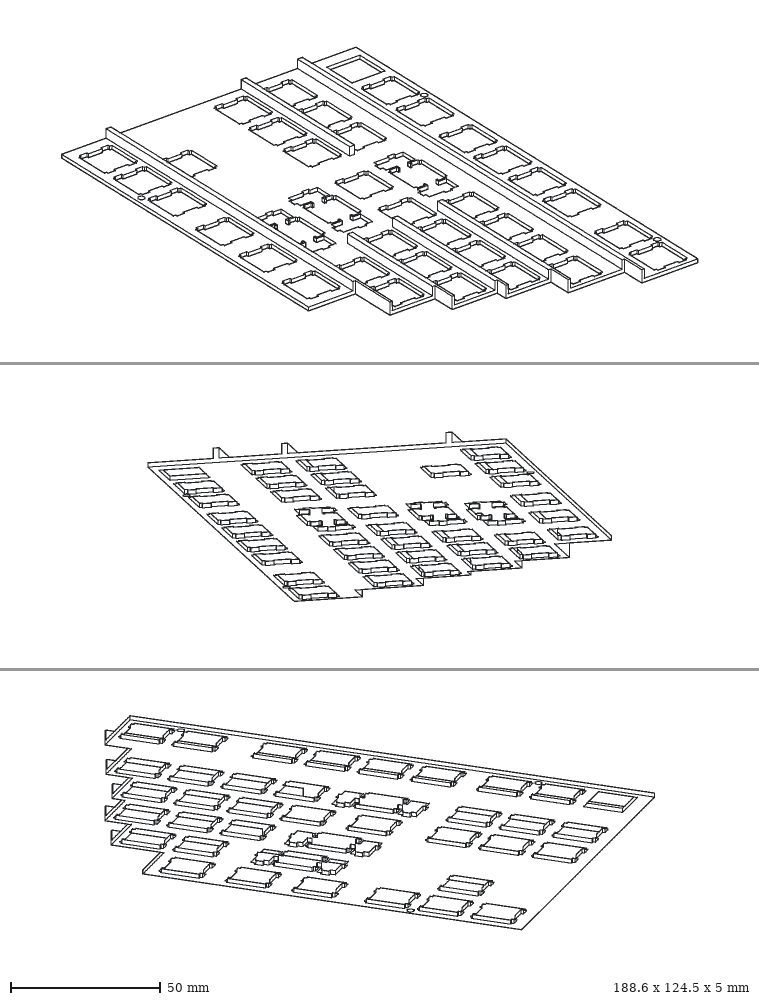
import cadquery as cq

LENGTH = 188.6
DEPTH = 124.5
HEIGHT = 5.0
PLATE_THICKNESS = 1.5

KEY_UNIT = 19.0
FIRST_COLUMN_X = 12.3
FIRST_ROW_SETBACK = 9.5

SWITCH_SIZE = 14.0
NOTCHED_WIDTH = 15.7
NOTCH_OUTER_HEIGHT = 12.0
NOTCH_INNER_HEIGHT = 5.8

STABILISER_OFFSET = 11.9
WINDOW_WIDTH = 6.6
WINDOW_TOP = 5.5
WINDOW_BOTTOM = -6.8
FOOT_WIDTH = 3.0
FOOT_BOTTOM = -8.0
SIDE_SLOT_REACH = 16.0
SIDE_SLOT_TOP = 2.3
SIDE_SLOT_BOTTOM = -0.5
CHANNEL_HEIGHT = 4.5

RIB_THICKNESS = 2.0
SPLIT_RIB_START_X = 108.5
HOLE_DIAMETER = 2.5
HOLE_EDGE_DISTANCE = 2.5

ROWS = [
    {"drop": 0.0, "right": 9.25, "switches": [1, 2, 3.25, 4.25, 5.25, 6.25, 7.75, 8.75], "stabilised": []},
    {"drop": 1.5, "right": 8.75, "switches": [0, 1, 2, 5.25, 6.25, 7.25, 8.25], "stabilised": [3.75]},
    {"drop": 2.5, "right": 8.25, "switches": [0, 1, 2, 3.5, 4.75, 5.75, 6.75, 7.75], "stabilised": []},
    {"drop": 3.5, "right": 8.0, "switches": [5.5, 6.5, 7.5], "stabilised": [3.875]},
    {"drop": 4.5, "right": 7.5, "switches": [1, 6, 7], "stabilised": [4.125]},
    {"drop": 5.5, "right": 6.5, "switches": [0, 1, 2, 3.375, 4.625, 5.875], "stabilised": []},
]
PLAIN_SQUARE_COLUMN = 0
LEFT_RIB_END_COLUMN = 2.5
BACK_HOLE_COLUMNS = [1.5, 8.25]
FRONT_HOLE_COLUMNS = [1.5]


def column_x(column):
    return FIRST_COLUMN_X + column * KEY_UNIT


def row_y(row):
    return DEPTH - FIRST_ROW_SETBACK - row["drop"] * KEY_UNIT


def right_edge(row):
    return LENGTH - (ROWS[0]["right"] - row["right"]) * KEY_UNIT


def block(x_min, x_max, y_min, y_max, height):
    """Box standing on the underside of the plate."""
    box = cq.Workplane("XY").box(x_max - x_min, y_max - y_min, height, centered=False)
    return box.translate((x_min, y_min, 0))


def centred_block(x, y, width, depth):
    return block(x - width / 2, x + width / 2, y - depth / 2, y + depth / 2, HEIGHT)


def switch_cutout(x, y):
    notches = centred_block(x, y, NOTCHED_WIDTH, NOTCH_OUTER_HEIGHT)
    notches = notches.cut(centred_block(x, y, NOTCHED_WIDTH, NOTCH_INNER_HEIGHT))
    return centred_block(x, y, SWITCH_SIZE, SWITCH_SIZE).union(notches)


def stabiliser_cutout(x, y):
    cutout = centred_block(x, y, 2 * STABILISER_OFFSET, CHANNEL_HEIGHT)
    cutout = cutout.union(
        block(x - SIDE_SLOT_REACH, x + SIDE_SLOT_REACH, y + SIDE_SLOT_BOTTOM, y + SIDE_SLOT_TOP, HEIGHT)
    )
    for side in (-1, 1):
        centre = x + side * STABILISER_OFFSET
        half_window = WINDOW_WIDTH / 2
        half_foot = FOOT_WIDTH / 2
        cutout = cutout.union(
            block(centre - half_window, centre + half_window, y + WINDOW_BOTTOM, y + WINDOW_TOP, HEIGHT)
        )
        cutout = cutout.union(block(centre - half_foot, centre + half_foot, y + FOOT_BOTTOM, y, HEIGHT))
    return cutout


row_fronts = [(row_y(row) + row_y(next_row)) / 2 for row, next_row in zip(ROWS, ROWS[1:])] + [0]
row_backs = [DEPTH] + row_fronts[:-1]
plate = cq.Workplane("XY")
for row, front, back in zip(ROWS, row_fronts, row_backs):
    plate = plate.union(block(0, right_edge(row), front, back, PLATE_THICKNESS))


def rib(index, x_min, x_max):
    """Rib along the front of a row, the front half of it standing on the shorter next row."""
    line = row_fronts[index]
    back_half = block(x_min, min(x_max, right_edge(ROWS[index])), line, line + RIB_THICKNESS / 2, HEIGHT)
    front_half = block(x_min, min(x_max, right_edge(ROWS[index + 1])), line - RIB_THICKNESS / 2, line, HEIGHT)
    return back_half.union(front_half)


plate = plate.union(rib(0, 0, LENGTH))
plate = plate.union(rib(1, 0, column_x(LEFT_RIB_END_COLUMN)))
for index in (1, 2, 3):
    plate = plate.union(rib(index, SPLIT_RIB_START_X, LENGTH))
plate = plate.union(rib(4, 0, LENGTH))

plate = plate.cut(centred_block(column_x(PLAIN_SQUARE_COLUMN), row_y(ROWS[0]), SWITCH_SIZE, SWITCH_SIZE))
for row in ROWS:
    for column in row["switches"] + row["stabilised"]:
        plate = plate.cut(switch_cutout(column_x(column), row_y(row)))
    for column in row["stabilised"]:
        plate = plate.cut(stabiliser_cutout(column_x(column), row_y(row)))

hole_centres = [(column_x(column), DEPTH - HOLE_EDGE_DISTANCE) for column in BACK_HOLE_COLUMNS]
hole_centres += [(column_x(column), HOLE_EDGE_DISTANCE) for column in FRONT_HOLE_COLUMNS]
holes = cq.Workplane("XY").pushPoints(hole_centres).circle(HOLE_DIAMETER / 2).extrude(PLATE_THICKNESS)

result = plate.cut(holes)